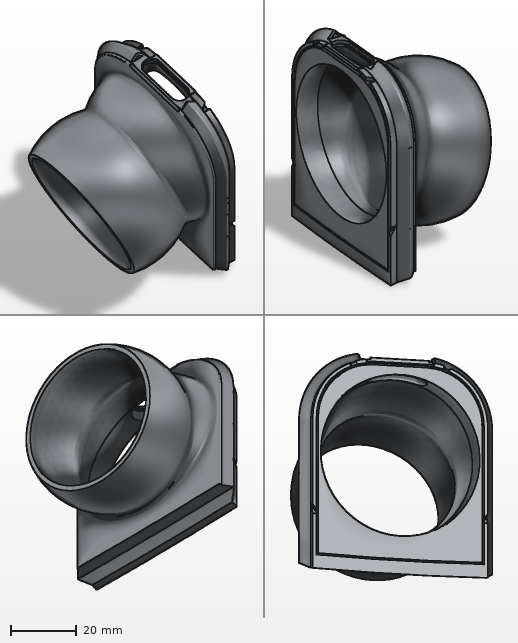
import cadquery as cq
import math

CORNER_X = 8.55
CORNER_Z = 47.65
BOTTOM_BOW = 0.4

RIM_HALF_WIDTH = 27.8
RIM_DEPTH = 2.15
RIDGE_RISE = 3.2
RIDGE_HALF_WIDTH = RIM_HALF_WIDTH + RIDGE_RISE
RIDGE_DEPTH = RIM_DEPTH + RIDGE_RISE
RIDGE_ROUND = 0.7
FRONT_HALF_WIDTH = 28.4
FRONT_STEP_DEPTH = RIDGE_DEPTH + RIDGE_HALF_WIDTH - FRONT_HALF_WIDTH
FLANGE_DEPTH = 8.9
FRONT_ROUND = 0.5
RIM_FRONT_BOTTOM = 0.4
RIDGE_BOTTOM = 2.5
FRONT_BOTTOM = 2.85

FLAT_Z = 67.4
FLAT_CHAMFER = 0.8
LATCH_FLAT_HALF = 9.3
RIDGE_GAP_HALF = 11.55
RIDGE_END_CHAMFER = 0.6
SLOT_LENGTH = 19.35
SLOT_WIDTH = 6.1
SLOT_DEPTH_Y = 4.2

LATCH_HALF_BACK = 13.8
LATCH_HALF_FRONT = 15.0
LOWER_RIM_BACK_Z = 17.45
LOWER_RIM_FRONT_Z = 20.95
RAIL_TOP_X = 15.7
RAIL_TOP_Z = 65.0
RAIL_TOP_CHAMFER = 0.5
RAIL_END_Z = 20.4
RAIL_INNER_END_Z = 18.3

RIM_WALL = 1.2
RECESS_DEPTH = 7.6
RECESS_BOTTOM = 4.2
RELIEF_TOP = 66.2
RELIEF_HALF_WIDTH = 10.8
INSERT_GAP = 0.55

TILT = math.radians(15)
WALL = 1.45
NECK_Y = -2.85
NECK_Z = 37.3
NECK_RADIUS = 26.9
BALL_RADIUS = 26.15
BALL_SPACING = 26.1
MOUTH_OFFSET = 10.2
WAIST_FILLET = 1.45
BASE_FILLET = 1.4

TOLERANCE = 0.001
FAR = 83.5


def outline(half_width, bottom, depth):
    """Closed flange outline at the given distance forward of the back face."""
    radius = half_width - CORNER_X
    diagonal = radius * math.sqrt(0.5)
    side_bottom = bottom + BOTTOM_BOW
    return (
        cq.Workplane("XZ", origin=(0, -depth, 0))
        .moveTo(-half_width, side_bottom)
        .lineTo(-half_width, CORNER_Z)
        .threePointArc(
            (-CORNER_X - diagonal, CORNER_Z + diagonal), (-CORNER_X, CORNER_Z + radius)
        )
        .lineTo(CORNER_X, CORNER_Z + radius)
        .threePointArc(
            (CORNER_X + diagonal, CORNER_Z + diagonal), (half_width, CORNER_Z)
        )
        .lineTo(half_width, side_bottom)
        .threePointArc((0, bottom), (-half_width, side_bottom))
        .close()
    )


def outline_solid(sections):
    """Solid ruled through a list of (half width, bottom, depth) sections."""
    solid = None
    for near, far in zip(sections, sections[1:]):
        wires = [outline(*section).wire().val() for section in (near, far)]
        layer = cq.Workplane(cq.Solid.makeLoft(wires, True))
        solid = layer if solid is None else solid.union(layer)
    return solid


def box(x_range, y_range, z_range):
    """Box between the given limits."""
    sizes = [high - low for low, high in (x_range, y_range, z_range)]
    corner = (x_range[0], y_range[0], z_range[0])
    return cq.Workplane("XY").box(*sizes, centered=False).translate(corner)


def duct_body(wall_inset):
    """Neck and ball revolved about the tilted axis, inset from the outer skin, cut off at the mouth."""
    neck = NECK_RADIUS - wall_inset
    ball = BALL_RADIUS - wall_inset
    waist_along = (BALL_SPACING**2 + neck**2 - ball**2) / (2 * BALL_SPACING)
    waist_radius = math.sqrt(neck**2 - waist_along**2)
    mouth_along = BALL_SPACING + MOUTH_OFFSET
    mouth_radius = math.sqrt(ball**2 - MOUTH_OFFSET**2)
    axis = (0, -math.cos(TILT), -math.sin(TILT))
    plane = cq.Plane(origin=(0, NECK_Y, NECK_Z), xDir=axis, normal=(1, 0, 0))
    body = (
        cq.Workplane(plane)
        .moveTo(-neck, 0)
        .threePointArc((0, neck), (waist_along, waist_radius))
        .threePointArc((BALL_SPACING, ball), (mouth_along, mouth_radius))
        .lineTo(mouth_along, 0)
        .close()
        .revolve(360, (0, 0, 0), (1, 0, 0))
    )
    waist = circle_edges(body, waist_radius)
    return waist.fillet(WAIST_FILLET + wall_inset)


def ahead_of(body, depth):
    """The part of a body that lies forward of the given depth."""
    return body.cut(box((-FAR, FAR), (-depth, FAR), (-FAR, FAR)))


def circle_edges(solid, radius):
    """Circular edges of the given radius."""
    edges = [edge for edge in solid.edges("%CIRCLE").vals() if abs(edge.radius() - radius) < TOLERANCE]
    return solid.newObject(edges)


def duct_outside():
    """Outer duct skin with its filleted waist, starting inside the flange front wall."""
    return ahead_of(duct_body(0), RECESS_DEPTH)


def duct_inside():
    """Air passage from the recess to the mouth."""
    return ahead_of(duct_body(WALL), RECESS_DEPTH)


def slot():
    """Rounded slot running down into the duct."""
    return (
        cq.Workplane("XY", origin=(0, -SLOT_DEPTH_Y, NECK_Z))
        .slot2D(SLOT_LENGTH, SLOT_WIDTH)
        .extrude(FAR)
    )


def rail_opening(side):
    """Space between the slanted ends of the latch and the lower rim, where a rail fits."""
    latch_side = [
        (side * LATCH_HALF_BACK, 0),
        (side * LATCH_HALF_FRONT, -RIM_DEPTH),
        (side * FAR, -RIM_DEPTH),
        (side * FAR, 0),
    ]
    beside_latch = cq.Workplane("XY").polyline(latch_side).close().extrude(FAR)
    rim_side = [
        (0, LOWER_RIM_BACK_Z),
        (-RIM_DEPTH, LOWER_RIM_FRONT_Z),
        (-RIM_DEPTH, FAR),
        (0, FAR),
    ]
    above_lower_rim = cq.Workplane("YZ").polyline(rim_side).close().extrude(side * FAR)
    return beside_latch.intersect(above_lower_rim)


def ridged_flange():
    """Solid flange block with its rounded ridge and front edge; the bottom edges stay sharp."""
    flange = outline_solid(
        [
            (RIM_HALF_WIDTH, 0, 0),
            (RIM_HALF_WIDTH, RIM_FRONT_BOTTOM, RIM_DEPTH),
            (RIDGE_HALF_WIDTH, RIDGE_BOTTOM, RIDGE_DEPTH),
            (FRONT_HALF_WIDTH, FRONT_BOTTOM, FRONT_STEP_DEPTH),
            (FRONT_HALF_WIDTH, FRONT_BOTTOM, FLANGE_DEPTH),
        ]
    )
    for depth, radius in ((RIDGE_DEPTH, RIDGE_ROUND), (FLANGE_DEPTH, FRONT_ROUND)):
        edges = [
            edge
            for edge in flange.edges().vals()
            if abs(edge.BoundingBox().ymin + depth) < TOLERANCE
            and edge.BoundingBox().ylen < TOLERANCE
            and edge.Center().z > FRONT_BOTTOM + BOTTOM_BOW
        ]
        flange = flange.newObject(edges).fillet(radius)
    return flange


def cut_flat_top(flange):
    """Cut the flat top, which interrupts the ridge, and chamfer the two ridge ends."""
    gap = box((-RIDGE_GAP_HALF, RIDGE_GAP_HALF), (-FLANGE_DEPTH, 0), (FLAT_Z, FAR))
    flange = flange.cut(gap).cut(flat_top_chamfer())
    end_edges = [
        edge
        for edge in flange.edges().vals()
        if abs(abs(edge.Center().x) - RIDGE_GAP_HALF) < TOLERANCE
        and edge.BoundingBox().xlen < TOLERANCE
        and edge.BoundingBox().zmin > FLAT_Z - TOLERANCE
        and edge.BoundingBox().zlen > TOLERANCE
    ]
    return flange.newObject(end_edges).chamfer(RIDGE_END_CHAMFER)


def flat_top_chamfer():
    """Cutter for the chamfer along the front edge of the flat top."""
    points = [
        (-FLANGE_DEPTH, FLAT_Z - FLAT_CHAMFER),
        (-FLANGE_DEPTH + FLAT_CHAMFER, FLAT_Z),
        (-FLANGE_DEPTH, FLAT_Z),
    ]
    length = 2 * RIDGE_GAP_HALF
    return cq.Workplane("YZ", origin=(-length / 2, 0, 0)).polyline(points).close().extrude(length)


def recess():
    """Pocket in the back of the flange, with clearance under the latch."""
    half_width = RIM_HALF_WIDTH - RIM_WALL
    pocket = outline_solid([(half_width, RECESS_BOTTOM, 0), (half_width, RECESS_BOTTOM, RECESS_DEPTH)])
    relief = box(
        (-RELIEF_HALF_WIDTH, RELIEF_HALF_WIDTH), (-RECESS_DEPTH, 0), (NECK_Z, RELIEF_TOP)
    )
    return pocket.union(relief)


def fillet_duct_base(body):
    """Fillet where the neck meets the flange front."""
    base_radius = math.sqrt(NECK_RADIUS**2 - (FLANGE_DEPTH + NECK_Y) ** 2)
    return circle_edges(body, base_radius).fillet(BASE_FILLET)


def make_housing():
    """Flange with latch and lower rim, joined to the tilted duct."""
    body = cut_flat_top(ridged_flange())
    latch = box((-LATCH_FLAT_HALF, LATCH_FLAT_HALF), (-RIM_DEPTH, 0), (NECK_Z, FLAT_Z))
    body = body.union(latch)
    for side in (-1, 1):
        body = body.cut(rail_opening(side))
    body = body.union(duct_outside())
    body = fillet_duct_base(body)
    return body.cut(duct_inside()).cut(recess()).cut(slot())


def make_insert():
    """Plate in the recess, bored for the duct and slotted below the latch."""
    half_width = RIM_HALF_WIDTH - RIM_WALL - INSERT_GAP
    bottom = RECESS_BOTTOM + INSERT_GAP
    plate = outline_solid([(half_width, bottom, 0), (half_width, bottom, RECESS_DEPTH)])
    return plate.cut(duct_body(WALL)).cut(slot())


def make_rail(side):
    """Rim piece on one side, from beside the latch down to the lower rim."""
    inner_half = RIM_HALF_WIDTH - RIM_WALL
    ring = outline_solid([(RIM_HALF_WIDTH, 0, 0), (RIM_HALF_WIDTH, 0, RIM_DEPTH)])
    ring = ring.cut(
        outline_solid([(inner_half, RECESS_BOTTOM, 0), (inner_half, RECESS_BOTTOM, RIM_DEPTH)])
    )
    keep = [
        (side * (RAIL_TOP_X + RAIL_TOP_CHAMFER), FAR),
        (side * (RAIL_TOP_X + RAIL_TOP_CHAMFER), RAIL_TOP_Z + RAIL_TOP_CHAMFER),
        (side * RAIL_TOP_X, RAIL_TOP_Z),
        (side * RAIL_TOP_X, CORNER_Z),
        (side * inner_half, CORNER_Z),
        (side * inner_half, RAIL_INNER_END_Z),
        (side * RIM_HALF_WIDTH, RAIL_END_Z),
        (side * FAR, RAIL_END_Z),
        (side * FAR, FAR),
    ]
    rail = ring.intersect(cq.Workplane("XZ").polyline(keep).close().extrude(RIM_DEPTH))
    return rail.intersect(rail_opening(side))


housing = make_housing()
insert = make_insert()
rails = [make_rail(side) for side in (-1, 1)]

result = cq.Compound.makeCompound([housing.val(), insert.val(), *[rail.val() for rail in rails]])